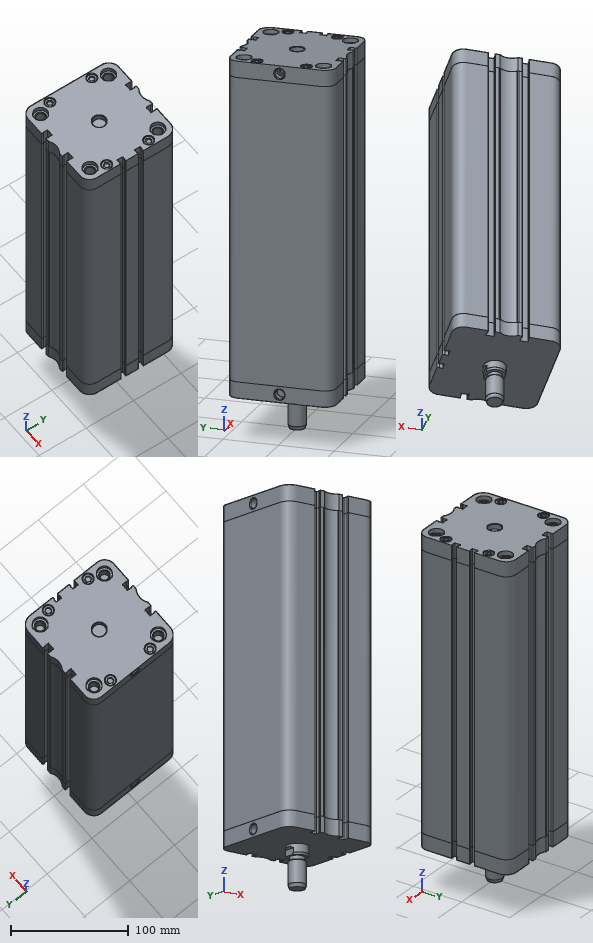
import cadquery as cq
import math

TOTAL_HEIGHT = 341.0
WIDTH = 95.5
HALF_WIDTH = WIDTH / 2
CORNER_RADIUS = 10.2
ROD_LENGTH = 37.5
CAP_HEIGHT = 14.5

CAP_BOTTOM = ROD_LENGTH
BARREL_BOTTOM = CAP_BOTTOM + CAP_HEIGHT
BARREL_TOP = TOTAL_HEIGHT - CAP_HEIGHT
BARREL_HEIGHT = BARREL_TOP - BARREL_BOTTOM

SLOT_LIP = 2.0
SLOT_UNDERCUT = 0.5
WIDE_SLOT_MOUTH = 6.0
WIDE_SLOT_DEPTH = 6.5
WIDE_SLOT_OFFSET = 15.0
NARROW_SLOT_MOUTH = 5.0
NARROW_SLOT_DEPTH = 5.0
NARROW_SLOT_OFFSET = 9.2

GROOVE_HALF_WIDTH = 8.0
GROOVE_DEPTH = 2.55
GROOVE_RADIUS = (GROOVE_HALF_WIDTH**2 + GROOVE_DEPTH**2) / (2 * GROOVE_DEPTH)
GROOVE_EDGE_HALF_WIDTH = 9.0
GROOVE_EDGE_DEPTH = 0.5

MOUNT_OFFSET = 35.8
MOUNT_BORE_DIAMETER = 13.5
MOUNT_BORE_DEPTH = 4.0
MOUNT_CHAMFER_DIAMETER = 10.0
MOUNT_DIAMETER = 8.5
MOUNT_CHAMFER = (MOUNT_CHAMFER_DIAMETER - MOUNT_DIAMETER) / 2

SOCKET_X = 41.3
SOCKET_Y = 22.0
RECESS_DIAMETER = 10.2
RECESS_FLOOR_DIAMETER = 9.0
RECESS_DEPTH = 0.7
SOCKET_ACROSS_FLATS = 5.0
SOCKET_ACROSS_CORNERS = SOCKET_ACROSS_FLATS / math.cos(math.pi / 6)
SOCKET_DEPTH = 2.7

CENTER_HOLE_DIAMETER = 12.5
CENTER_HOLE_CHAMFER = 0.5
CENTER_HOLE_DEPTH = 5.0

PORT_MOUTH_DIAMETER = 10.2
PORT_DIAMETER = 8.5
PORT_CHAMFER = (PORT_MOUTH_DIAMETER - PORT_DIAMETER) / 2
PORT_DEPTH = 6.8
PORT_PASSAGE_DIAMETER = 5.0
PORT_PASSAGE_DEPTH = 10.2

COLLAR_RADIUS = 10.2
COLLAR_LENGTH = 9.5
COLLAR_CHAMFER_RADIAL = 0.7
COLLAR_CHAMFER_HEIGHT = 2.0
FLAT_DISTANCE = 8.5
FLAT_START = 2.0
NECK_RADIUS = 6.8
NECK_LENGTH = 3.5
THREAD_RADIUS = 8.0
THREAD_CHAMFER = 0.7
TIP_RADIUS = 6.8
TIP_CHAMFER_HEIGHT = 3.5


def slot_cutter(offset, mouth_width, depth, turn, height):
    """Undercut slot on the +X face at the given Y offset, turned about Z."""
    half_mouth = mouth_width / 2
    half_inner = half_mouth + SLOT_UNDERCUT
    lip_x = HALF_WIDTH - SLOT_LIP
    floor_x = HALF_WIDTH - depth
    outline = [
        (HALF_WIDTH, offset - half_mouth),
        (HALF_WIDTH, offset + half_mouth),
        (lip_x, offset + half_mouth),
        (lip_x, offset + half_inner),
        (floor_x, offset + half_inner),
        (floor_x, offset - half_inner),
        (lip_x, offset - half_inner),
        (lip_x, offset - half_mouth),
    ]
    slot = cq.Workplane().polyline(outline).close().extrude(height)
    return slot.rotate((0, 0, 0), (0, 0, 1), turn)


def groove_cutter(side, height):
    """Arc groove on the +Y side (side = 1) or the -Y side (side = -1)."""
    center_y = side * (HALF_WIDTH - GROOVE_DEPTH + GROOVE_RADIUS)
    return cq.Workplane().center(0, center_y).circle(GROOVE_RADIUS).extrude(height)


def groove_bevel_cutter(side, height):
    """Bevel of both groove edges on one side of the barrel."""
    face_y = side * HALF_WIDTH
    return (
        cq.Workplane()
        .moveTo(-GROOVE_EDGE_HALF_WIDTH, face_y)
        .lineTo(GROOVE_EDGE_HALF_WIDTH, face_y)
        .lineTo(GROOVE_HALF_WIDTH, face_y - side * GROOVE_EDGE_DEPTH)
        .lineTo(-GROOVE_HALF_WIDTH, face_y - side * GROOVE_EDGE_DEPTH)
        .close()
        .extrude(height)
    )


def profile_block(bottom, height):
    """Rounded square block with the slots and grooves of the extruded profile."""
    block = cq.Workplane().box(WIDTH, WIDTH, height, centered=(True, True, False))
    block = block.edges("|Z").fillet(CORNER_RADIUS)
    for direction in (-1, 1):
        narrow_offset = direction * NARROW_SLOT_OFFSET
        wide_offset = direction * WIDE_SLOT_OFFSET
        block = block.cut(slot_cutter(narrow_offset, NARROW_SLOT_MOUTH, NARROW_SLOT_DEPTH, 0, height))
        for turn in (90, -90):
            block = block.cut(slot_cutter(wide_offset, WIDE_SLOT_MOUTH, WIDE_SLOT_DEPTH, turn, height))
        block = block.cut(groove_cutter(direction, height))
    return block.translate((0, 0, bottom))


def mounting_hole_cutter():
    """Counterbored hole going down from the origin, through a cap."""
    bore_radius = MOUNT_BORE_DIAMETER / 2
    radius = MOUNT_DIAMETER / 2
    profile = [
        (0, 0),
        (bore_radius, 0),
        (bore_radius, -MOUNT_BORE_DEPTH),
        (radius + MOUNT_CHAMFER, -MOUNT_BORE_DEPTH),
        (radius, -MOUNT_BORE_DEPTH - MOUNT_CHAMFER),
        (radius, -CAP_HEIGHT),
        (0, -CAP_HEIGHT),
    ]
    return cq.Workplane("XZ").polyline(profile).close().revolve(360, (0, 0, 0), (0, 1, 0))


def socket_cutter():
    """Shallow tapered recess with a hexagon socket, going down from the origin."""
    profile = [
        (0, 0),
        (RECESS_DIAMETER / 2, 0),
        (RECESS_FLOOR_DIAMETER / 2, -RECESS_DEPTH),
        (0, -RECESS_DEPTH),
    ]
    recess = cq.Workplane("XZ").polyline(profile).close().revolve(360, (0, 0, 0), (0, 1, 0))
    socket = cq.Workplane().polygon(6, SOCKET_ACROSS_CORNERS).extrude(-SOCKET_DEPTH)
    return recess.union(socket)


def center_hole_cutter():
    """Chamfered blind hole going down from the origin."""
    radius = CENTER_HOLE_DIAMETER / 2
    profile = [
        (0, 0),
        (radius + CENTER_HOLE_CHAMFER, 0),
        (radius, -CENTER_HOLE_CHAMFER),
        (radius, -CENTER_HOLE_DEPTH),
        (0, -CENTER_HOLE_DEPTH),
    ]
    return cq.Workplane("XZ").polyline(profile).close().revolve(360, (0, 0, 0), (0, 1, 0))


def port_cutter(height):
    """Chamfered blind port going into the -X side at the given height."""
    mouth_radius = PORT_MOUTH_DIAMETER / 2
    radius = PORT_DIAMETER / 2
    profile = [
        (-HALF_WIDTH, 0),
        (-HALF_WIDTH, mouth_radius),
        (-HALF_WIDTH + PORT_CHAMFER, radius),
        (-HALF_WIDTH + PORT_DEPTH, radius),
        (-HALF_WIDTH + PORT_DEPTH, 0),
    ]
    port = cq.Workplane("XZ").polyline(profile).close().revolve(360, (0, 0, 0), (1, 0, 0))
    return port.translate((0, 0, height))


def port_passage_cutter(height):
    """Small passage that continues a port inward."""
    passage = cq.Workplane("YZ").circle(PORT_PASSAGE_DIAMETER / 2).extrude(PORT_PASSAGE_DEPTH)
    return passage.translate((-HALF_WIDTH, 0, height))


def make_top_cap():
    cap = profile_block(BARREL_TOP, CAP_HEIGHT)
    for side_x in (-1, 1):
        for side_y in (-1, 1):
            mount_place = (side_x * MOUNT_OFFSET, side_y * MOUNT_OFFSET, TOTAL_HEIGHT)
            cap = cap.cut(mounting_hole_cutter().translate(mount_place))
            socket_place = (side_x * SOCKET_X, side_y * SOCKET_Y, TOTAL_HEIGHT)
            cap = cap.cut(socket_cutter().translate(socket_place))
    cap = cap.cut(center_hole_cutter().translate((0, 0, TOTAL_HEIGHT)))
    port_height = TOTAL_HEIGHT - CAP_HEIGHT / 2
    return cap.cut(port_cutter(port_height)).cut(port_passage_cutter(port_height))


def make_barrel():
    barrel = profile_block(BARREL_BOTTOM, BARREL_HEIGHT)
    for side in (-1, 1):
        bevel = groove_bevel_cutter(side, BARREL_HEIGHT)
        barrel = barrel.cut(bevel.translate((0, 0, BARREL_BOTTOM)))
    return barrel


def make_bottom_cap():
    cap = profile_block(CAP_BOTTOM, CAP_HEIGHT)
    return cap.cut(port_cutter(CAP_BOTTOM + CAP_HEIGHT / 2))


def flat_cutter():
    """Material removed on the +X side of the collar, with a 45 degree run-out."""
    run_out = COLLAR_RADIUS - FLAT_DISTANCE
    start_z = ROD_LENGTH - FLAT_START
    end_z = ROD_LENGTH - COLLAR_LENGTH
    profile = [
        (COLLAR_RADIUS, start_z),
        (FLAT_DISTANCE, start_z - run_out),
        (FLAT_DISTANCE, end_z),
        (COLLAR_RADIUS, end_z),
    ]
    return cq.Workplane("XZ").polyline(profile).close().extrude(COLLAR_RADIUS, both=True)


def make_rod():
    collar_end = ROD_LENGTH - COLLAR_LENGTH
    thread_start = collar_end - NECK_LENGTH
    profile = [
        (0, ROD_LENGTH),
        (COLLAR_RADIUS, ROD_LENGTH),
        (COLLAR_RADIUS, collar_end + COLLAR_CHAMFER_HEIGHT),
        (COLLAR_RADIUS - COLLAR_CHAMFER_RADIAL, collar_end),
        (NECK_RADIUS, collar_end),
        (NECK_RADIUS, thread_start),
        (THREAD_RADIUS - THREAD_CHAMFER, thread_start),
        (THREAD_RADIUS, thread_start - THREAD_CHAMFER),
        (THREAD_RADIUS, TIP_CHAMFER_HEIGHT),
        (TIP_RADIUS, 0),
        (0, 0),
    ]
    rod = cq.Workplane("XZ").polyline(profile).close().revolve(360, (0, 0, 0), (0, 1, 0))
    for turn in (0, 180):
        rod = rod.cut(flat_cutter().rotate((0, 0, 0), (0, 0, 1), turn))
    return rod


top_cap = make_top_cap()
barrel = make_barrel()
bottom_cap = make_bottom_cap()
rod = make_rod()

result = cq.Compound.makeCompound([top_cap.val(), barrel.val(), bottom_cap.val(), rod.val()])